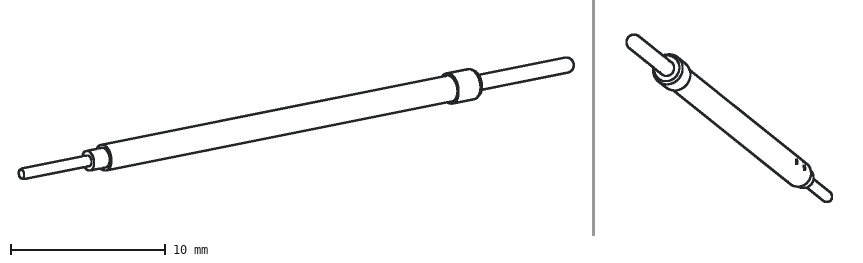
import cadquery as cq


tail_diameter = 0.72
sleeve_diameter = 1.3
barrel_diameter = 1.7
collar_diameter = 2.0
plunger_diameter = 1.0

tail_length = 5.4
sleeve_length = 1.25
barrel_length = 28.0
collar_length = 2.0
total_length = 44.6

tail_chamfer_length = 0.2
tail_chamfer_depth = 0.06
collar_lead_length = 0.25
collar_lead_depth = 0.15
tip_length = 0.45

dimple_diameter = 0.3
dimple_depth = 0.1
dimple_spacing = 1.78
dimple_offset = 2.37

sleeve_start = tail_length
barrel_start = sleeve_start + sleeve_length
collar_start = barrel_start + barrel_length
plunger_start = collar_start + collar_length


def cylinder(diameter, start, end):
    """Solid cylinder on the Y axis from start to end."""
    base = cq.Workplane("XZ", origin=(0, start, 0))
    return base.circle(diameter / 2).extrude(start - end)


def make_tail():
    """Thin wire-wrap tail with a chamfered free end, running into the barrel."""
    tail = cylinder(tail_diameter, 0, barrel_start)
    return tail.faces("<Y").chamfer(tail_chamfer_length, tail_chamfer_depth)


def make_collar():
    """Press-fit collar with a tapered lead on the plunger side."""
    collar = cylinder(collar_diameter, collar_start, plunger_start)
    return collar.faces(">Y").chamfer(collar_lead_length, collar_lead_depth)


def make_plunger():
    """Plunger ending in a spherical dome."""
    radius = plunger_diameter / 2
    tip_start = total_length - tip_length
    dome_radius = (radius**2 + tip_length**2) / (2 * tip_length)
    profile = (
        cq.Workplane("XY")
        .moveTo(0, collar_start)
        .lineTo(radius, collar_start)
        .lineTo(radius, tip_start)
        .radiusArc((0, total_length), -dome_radius)
        .close()
    )
    return profile.revolve(360, (0, 0, 0), (0, 1, 0))


def make_dimple(y):
    """Round cutter sunk into the -X side of the barrel, centred at the given Y."""
    side = cq.Workplane("YZ", origin=(-barrel_diameter / 2, y, 0))
    return side.circle(dimple_diameter / 2).extrude(dimple_depth, both=True)


result = cylinder(barrel_diameter, barrel_start, collar_start)
result = result.union(make_tail())
result = result.union(cylinder(sleeve_diameter, sleeve_start, barrel_start))
result = result.union(make_collar())
result = result.union(make_plunger())

dimple_middle = barrel_start + dimple_offset
for side_sign in (-1, 1):
    result = result.cut(make_dimple(dimple_middle + side_sign * dimple_spacing / 2))